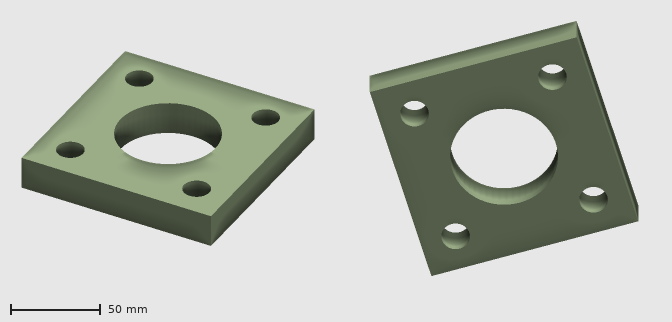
import cadquery as cq

plate_side = 120.0
plate_thickness = 20.0
bore_diameter = 60.0
bolt_hole_diameter = 16.0
bolt_spacing = 80.0


def square_plate():
    """Square plate centred on the Z axis, resting on the XY plane."""
    return cq.Workplane("XY").box(plate_side, plate_side, plate_thickness, centered=(True, True, False))


def cut_central_bore(body):
    """Large through bore in the middle of the plate."""
    return body.faces(">Z").workplane().hole(bore_diameter)


def cut_bolt_holes(body):
    """Four through holes on a square pattern, one near each corner."""
    corners = body.faces(">Z").workplane().rect(bolt_spacing, bolt_spacing, forConstruction=True).vertices()
    return corners.hole(bolt_hole_diameter)


result = cut_bolt_holes(cut_central_bore(square_plate()))